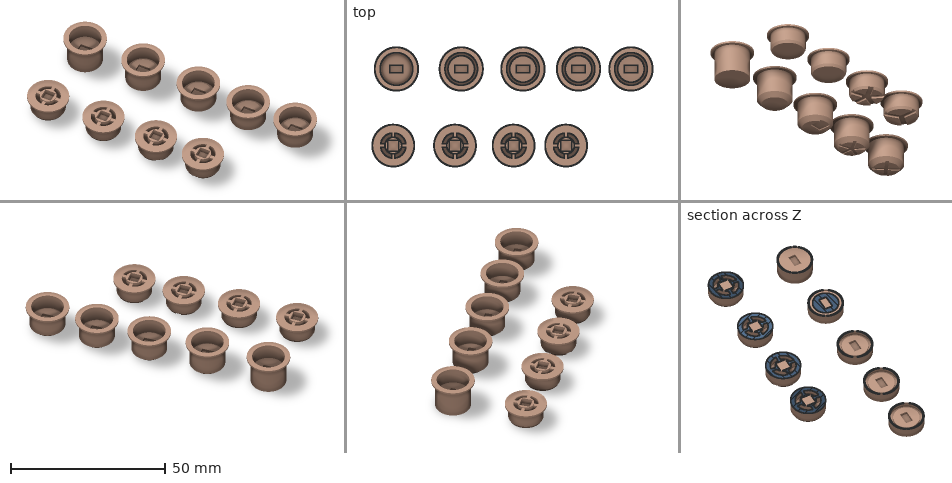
import cadquery as cq

GROOVE_REACH = 7.0

CUP_FLANGE_D = 14.13
CUP_BODY_D = 11.63
CUP_BORE_D = 10.6
CUP_BORE_DEPTH = 5.35
CUP_FLANGE_T = 0.6
CUP_CHAMFER = 1.5
TALL_CUP_H = 10.2
SHORT_CUP_H = 9.0

FLOOR_DISK_D = 8.63
FLOOR_DISK_H = 0.7

SLOT_LENGTH = 4.25
SLOT_WIDTH = 2.5
SLOT_DEPTH = 1.0

CUP_GROOVE_DEPTH = 0.35
NARROW_GROOVE_W = 1.2
WIDE_GROOVE_W = 4.4

CUPS = [
    (0, TALL_CUP_H, False, 0, 0, 0),
    (21, TALL_CUP_H, True, 0, 0, 0),
    (41, SHORT_CUP_H, True, 1, -90, WIDE_GROOVE_W),
    (59, SHORT_CUP_H, True, 5, 90, NARROW_GROOVE_W),
    (76, SHORT_CUP_H, True, 4, 45, NARROW_GROOVE_W),
]

PLUG_FLANGE_D = 13.68
PLUG_BODY_D = 11.52
PLUG_BOTTOM_D = 10.6
PLUG_CHAMFER_H = 0.9
PLUG_FLANGE_T = 0.6
PLUG_BOTTOM_Z = 0.55
PLUG_FLANGE_TOP_Z = 6.65
PLUG_TOP_Z = 6.95

RING_D = 8.2
HUB_D = 5.4
ARM_WIDTH = 1.1
RING_DEPTH = 4.0
SOCKET_SIDE = 3.6
SOCKET_DEPTH = 2.0

PLUG_GROOVE_W = 1.9
PLUG_GROOVE_DEPTH = 0.65

PLUGS = [(0, 0, 0), (20, 0, 0), (39, 5, 90), (56, 3, -90)]

PLUG_ROW_X = -1.025
PLUG_ROW_Y = -24.825


def disk(diameter, z_bottom, z_top):
    return cq.Workplane("XY").workplane(offset=z_bottom).circle(diameter / 2).extrude(z_top - z_bottom)


def block(length, width, z_bottom, z_top):
    return cq.Workplane("XY").workplane(offset=z_bottom).rect(length, width).extrude(z_top - z_bottom)


def cut_radial_grooves(body, count, first_angle, width, depth):
    """Cut evenly spaced grooves into the underside, each running from the axis out past the rim."""
    z_bottom = body.val().BoundingBox().zmin
    groove = block(GROOVE_REACH, width, z_bottom, z_bottom + depth).translate((GROOVE_REACH / 2, 0, 0))
    for i in range(count):
        angle = first_angle + i * 360 / count
        body = body.cut(groove.rotate((0, 0, 0), (0, 0, 1), angle))
    return body


def make_cup(height, stepped, groove_count, first_angle, groove_width):
    body = disk(CUP_BODY_D, 0, height)
    if stepped:
        body = body.faces("<Z").chamfer(CUP_CHAMFER)
    cup = body.union(disk(CUP_FLANGE_D, height - CUP_FLANGE_T, height))
    floor_z = height - CUP_BORE_DEPTH
    cup = cup.cut(disk(CUP_BORE_D, floor_z, height))
    if stepped:
        cup = cup.union(disk(FLOOR_DISK_D, floor_z, floor_z + FLOOR_DISK_H))
        floor_z += FLOOR_DISK_H
    cup = cup.cut(block(SLOT_LENGTH, SLOT_WIDTH, floor_z - SLOT_DEPTH, floor_z))
    return cut_radial_grooves(cup, groove_count, first_angle, groove_width, CUP_GROOVE_DEPTH)


def make_plug(groove_count, first_angle):
    chamfer_w = (PLUG_BODY_D - PLUG_BOTTOM_D) / 2
    body = disk(PLUG_BODY_D, PLUG_BOTTOM_Z, PLUG_FLANGE_TOP_Z)
    body = body.faces("<Z").chamfer(PLUG_CHAMFER_H, chamfer_w)
    plug = body.union(disk(PLUG_FLANGE_D, PLUG_FLANGE_TOP_Z - PLUG_FLANGE_T, PLUG_FLANGE_TOP_Z))
    ring_floor_z = PLUG_FLANGE_TOP_Z - RING_DEPTH
    moat = disk(RING_D, ring_floor_z, PLUG_FLANGE_TOP_Z)
    for length, width in ((RING_D, ARM_WIDTH), (ARM_WIDTH, RING_D)):
        moat = moat.cut(block(length, width, ring_floor_z, PLUG_FLANGE_TOP_Z))
    moat = moat.cut(disk(HUB_D, ring_floor_z, PLUG_FLANGE_TOP_Z))
    plug = plug.cut(moat)
    plug = plug.union(disk(HUB_D, PLUG_FLANGE_TOP_Z, PLUG_TOP_Z))
    plug = plug.cut(block(SOCKET_SIDE, SOCKET_SIDE, PLUG_TOP_Z - SOCKET_DEPTH, PLUG_TOP_Z))
    return cut_radial_grooves(plug, groove_count, first_angle, PLUG_GROOVE_W, PLUG_GROOVE_DEPTH)


cups = []
for x, *cup_details in CUPS:
    cups.append(make_cup(*cup_details).translate((x, 0, 0)))

plugs = []
for x, *groove_layout in PLUGS:
    plugs.append(make_plug(*groove_layout).translate((PLUG_ROW_X + x, PLUG_ROW_Y, 0)))

result = cq.Compound.makeCompound([body.val() for body in cups + plugs])